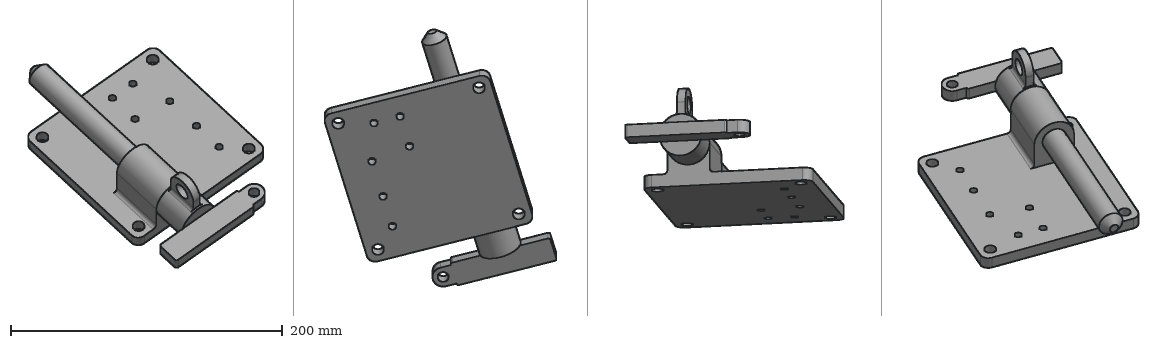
import cadquery as cq


total_length = 203.6
stock_thickness = 9.5
rod_diameter = 19.0
rod_radius = rod_diameter / 2
barrel_radius = 15.9
root_fillet = 3.0

plate_size = 126.5
plate_corner_radius = 6.5
plate_left = 29.3
plate_right = plate_left + plate_size
plate_back = 92.0
plate_front = plate_back - plate_size
axis_height = 31.8
plate_bottom = -axis_height
plate_top = plate_bottom + stock_thickness
corner_hole_diameter = 8.8
corner_hole_inset = 9.4
small_hole_diameter = 5.5
small_holes = [
    (16.3, 34.8),
    (16.3, 54.8),
    (41.7, 54.8),
    (46.2, 24.8),
    (76.2, 24.8),
    (101.6, 24.8),
]

housing_length = 44.2
housing_left = plate_right - housing_length

tip_chamfer = 6.1

handle_width = 19.1
handle_left = total_length - handle_width
handle_front = -38.0
handle_shoulder = 38.3
handle_corner_radius = 1.6
tab_radius = 8.0
tab_hole_diameter = 8.0
tab_center_y = 46.2

lug_radius = 12.6
lug_thickness = 6.5
lug_hole_diameter = 12.6
lug_center_x = 170.0
total_height = 69.8
lug_center_z = plate_bottom + total_height - lug_radius


def x_cylinder(radius, start, end):
    """Cylinder on the bolt axis between two X positions."""
    return cq.Workplane("YZ", origin=(start, 0, 0)).circle(radius).extrude(end - start)


def make_plate():
    """Square plate with rounded corners, corner holes and small holes."""
    plate_center_x = (plate_left + plate_right) / 2
    plate_center_y = (plate_front + plate_back) / 2
    corner_hole_spacing = plate_size - 2 * corner_hole_inset
    plate = (
        cq.Workplane("XY", origin=(plate_center_x, plate_center_y, plate_bottom))
        .rect(plate_size, plate_size)
        .extrude(stock_thickness)
        .edges("|Z")
        .fillet(plate_corner_radius)
    )
    corner_holes = (
        cq.Workplane("XY", origin=(plate_center_x, plate_center_y, plate_bottom))
        .rect(corner_hole_spacing, corner_hole_spacing, forConstruction=True)
        .vertices()
        .circle(corner_hole_diameter / 2)
        .extrude(stock_thickness)
    )
    small_hole_centers = [(plate_left + x, plate_back - y) for x, y in small_holes]
    small_hole_cuts = (
        cq.Workplane("XY", origin=(0, 0, plate_bottom))
        .pushPoints(small_hole_centers)
        .circle(small_hole_diameter / 2)
        .extrude(stock_thickness)
    )
    return plate.cut(corner_holes).cut(small_hole_cuts)


def make_housing():
    """Plate with a round-topped block that flares at its foot and is bored for the rod."""
    foot_half_width = barrel_radius + root_fillet
    flare_top = plate_top + root_fillet
    block = (
        cq.Workplane("YZ", origin=(housing_left, 0, 0))
        .moveTo(-foot_half_width, plate_top)
        .radiusArc((-barrel_radius, flare_top), -root_fillet)
        .lineTo(-barrel_radius, 0)
        .threePointArc((0, barrel_radius), (barrel_radius, 0))
        .lineTo(barrel_radius, flare_top)
        .radiusArc((foot_half_width, plate_top), -root_fillet)
        .close()
        .extrude(housing_length)
    )
    bore = x_cylinder(rod_radius, housing_left, plate_right)
    return make_plate().union(block).cut(bore)


def make_handle():
    """Flat crossbar with rounded corners and a narrower, round-ended tab with a hole."""
    handle_center_x = handle_left + handle_width / 2
    base = cq.Workplane("XY", origin=(handle_center_x, 0, -stock_thickness / 2))
    bar_length = handle_shoulder - handle_front
    bar = (
        base.center(0, handle_front + bar_length / 2)
        .rect(handle_width, bar_length)
        .extrude(stock_thickness)
        .edges("|Z")
        .fillet(handle_corner_radius)
    )
    tab = (
        base.moveTo(-tab_radius, 0)
        .lineTo(-tab_radius, tab_center_y)
        .threePointArc((0, tab_center_y + tab_radius), (tab_radius, tab_center_y))
        .lineTo(tab_radius, 0)
        .close()
        .extrude(stock_thickness)
    )
    tab_hole = (
        base.moveTo(0, tab_center_y)
        .circle(tab_hole_diameter / 2)
        .extrude(stock_thickness)
    )
    return bar.union(tab).cut(tab_hole)


def make_lug():
    """Upright round-topped lug that starts at the bolt axis."""
    base = cq.Workplane("XZ", origin=(lug_center_x, lug_thickness / 2, 0))
    return (
        base.moveTo(-lug_radius, 0)
        .lineTo(-lug_radius, lug_center_z)
        .threePointArc((0, lug_center_z + lug_radius), (lug_radius, lug_center_z))
        .lineTo(lug_radius, 0)
        .close()
        .extrude(lug_thickness)
    )


def make_lug_foot():
    """Concave fillets between the lug's flat sides and the round collar."""
    half_thickness = lug_thickness / 2
    arc_center_y = half_thickness + root_fillet
    arc_center_distance = barrel_radius + root_fillet
    arc_center_z = (arc_center_distance**2 - arc_center_y**2) ** 0.5
    contact_ratio = barrel_radius / arc_center_distance
    contact_y = arc_center_y * contact_ratio
    contact_z = arc_center_z * contact_ratio
    return (
        cq.Workplane("YZ", origin=(lug_center_x - lug_radius, 0, 0))
        .moveTo(-contact_y, contact_z)
        .radiusArc((-half_thickness, arc_center_z), -root_fillet)
        .lineTo(half_thickness, arc_center_z)
        .radiusArc((contact_y, contact_z), -root_fillet)
        .lineTo(0, 0)
        .close()
        .extrude(2 * lug_radius)
    )


def make_bolt():
    """Pointed rod, collar, crossbar handle and lug as one body."""
    rod = x_cylinder(rod_radius, 0, handle_left).faces("<X").chamfer(tip_chamfer)
    collar = x_cylinder(barrel_radius, plate_right, handle_left)
    lug_hole = (
        cq.Workplane("XZ", origin=(lug_center_x, lug_thickness / 2, lug_center_z))
        .circle(lug_hole_diameter / 2)
        .extrude(lug_thickness)
    )
    lug = make_lug().union(make_lug_foot()).cut(lug_hole)
    return rod.union(collar).union(make_handle()).union(lug)


housing = make_housing()
bolt = make_bolt()

result = cq.Compound.makeCompound([housing.val(), bolt.val()])